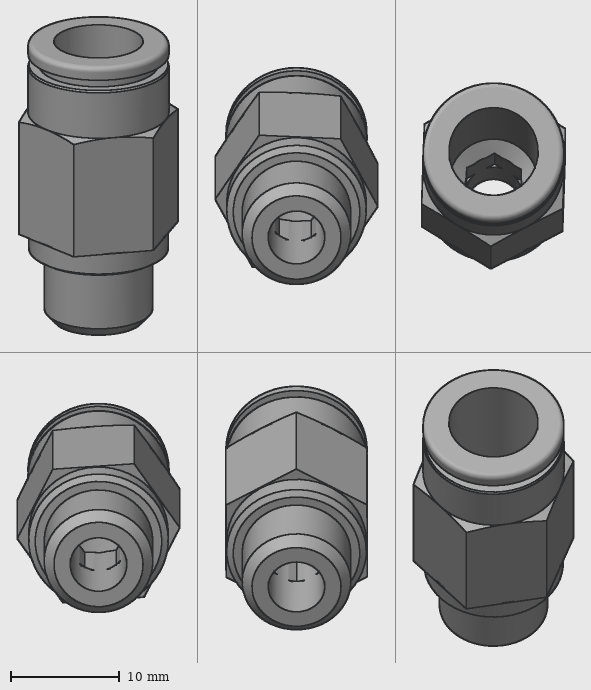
import cadquery as cq
import math

lead_in_height = 1.0
shoulder_bottom = 6.65
hex_bottom = 9.0
hex_top = 20.5
body_top = 25.2
collar_bottom = 26.25
total_height = 27.5

stud_diameter = 10.0
lead_in_diameter = 8.2
shoulder_diameter = 12.85
body_diameter = 13.0
neck_diameter = 11.0
hex_across_flats = 13.0

shoulder_bevel_height = 0.35
shoulder_bevel_width = 0.6
hex_chamfer_angle = 20.0
body_chamfer_height = 0.2
body_chamfer_width = 0.1
collar_fillet = 0.5

tube_diameter = 8.2
tube_floor = 12.0
through_diameter = 5.2
seat_half_angle = 59.0
key_across_flats = 5.05
key_bottom = 6.0

hex_sides = 6


def across_corners(across_flats):
    return across_flats / math.cos(math.pi / hex_sides)


def cylinder(diameter, bottom, top):
    return cq.Workplane("XY").workplane(offset=bottom).circle(diameter / 2).extrude(top - bottom)


def hexagon(across_flats, bottom, top):
    """Hexagonal prism with two of its corners in the XZ plane."""
    base = cq.Workplane("XY").workplane(offset=bottom)
    return base.polygon(hex_sides, across_corners(across_flats)).extrude(top - bottom)


def turned(profile):
    """Solid of revolution about Z from (radius, height) points."""
    return cq.Workplane("XZ").polyline(profile).close().revolve(axisStart=(0, 0), axisEnd=(0, 1))


def stud():
    """Lower cylinder with a tapered lead-in at its end."""
    lead_in_width = (stud_diameter - lead_in_diameter) / 2
    return cylinder(stud_diameter, 0, shoulder_bottom).faces("<Z").chamfer(lead_in_height, lead_in_width)


def shoulder():
    """Round seat below the hexagon with a shallow bevel on its lower edge."""
    radius = shoulder_diameter / 2
    return turned([
        (0, shoulder_bottom),
        (radius - shoulder_bevel_width, shoulder_bottom),
        (radius, shoulder_bottom + shoulder_bevel_height),
        (radius, hex_bottom),
        (0, hex_bottom),
    ])


def wrench_hex():
    """Hexagon whose top corners are turned down by a shallow cone."""
    corner_radius = across_corners(hex_across_flats) / 2
    top_radius = body_diameter / 2
    corner_drop = (corner_radius - top_radius) * math.tan(math.radians(hex_chamfer_angle))
    envelope = turned([
        (0, hex_bottom),
        (corner_radius, hex_bottom),
        (corner_radius, hex_top - corner_drop),
        (top_radius, hex_top),
        (0, hex_top),
    ])
    return hexagon(hex_across_flats, hex_bottom, hex_top).intersect(envelope)


def body():
    """Round body above the hexagon with its top edge broken."""
    blank = cylinder(body_diameter, hex_top, body_top)
    return blank.faces(">Z").chamfer(body_chamfer_height, body_chamfer_width)


def release_collar():
    """Rounded rim on a narrower neck at the tube entry."""
    neck = cylinder(neck_diameter, body_top, collar_bottom)
    rim = cylinder(body_diameter, collar_bottom, total_height).faces(">Z").edges().fillet(collar_fillet)
    return neck.union(rim)


def bore():
    """Tube socket narrowing through a conical seat to the through passage."""
    tube_radius = tube_diameter / 2
    through_radius = through_diameter / 2
    seat_depth = (tube_radius - through_radius) / math.tan(math.radians(seat_half_angle))
    return turned([
        (0, 0),
        (through_radius, 0),
        (through_radius, tube_floor - seat_depth),
        (tube_radius, tube_floor),
        (tube_radius, total_height),
        (0, total_height),
    ])


def key_socket():
    """Hexagon key socket around the upper part of the through passage."""
    return hexagon(key_across_flats, key_bottom, tube_floor)


outside = stud().union(shoulder()).union(wrench_hex()).union(body()).union(release_collar())
result = outside.cut(bore()).cut(key_socket())